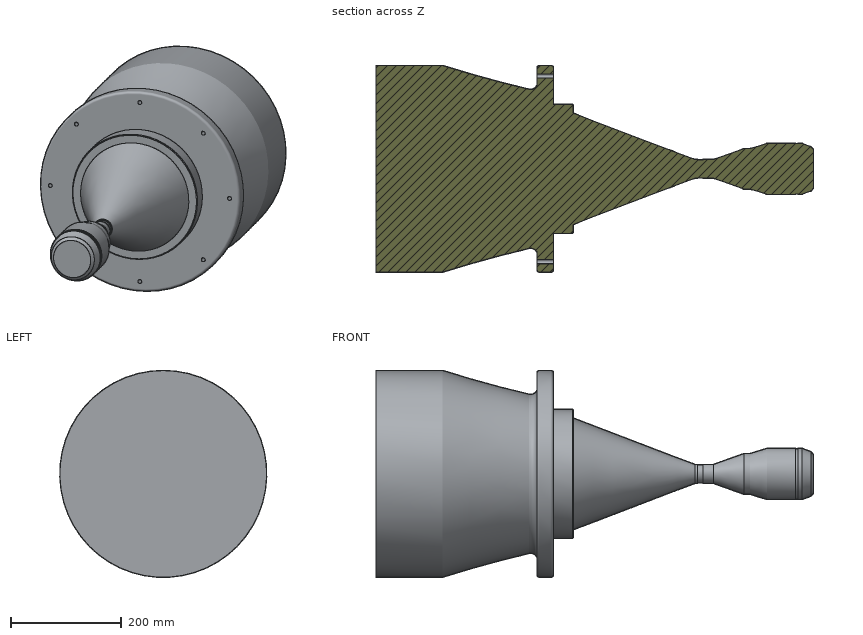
import cadquery as cq

length = 795.0
body_radius = 188.0
drum_end = 122.0
neck_start = 279.0
neck_radius = 145.0
taper_sag = 1.5

flange_start = 292.5
flange_end = 323.0
root_radius = 153.0
neck_land = 2.0
flange_edge_radius = 5.0

collar_radius = 118.0
collar_end = 358.5
collar_chamfer = 1.5
cone_base_radius = 102.0
cone_break = 539.0
cone_break_radius = 32.5

waist_radius = 17.5
waist_start = 579.5
waist_end = 613.0

step_radius = 37.0
step_start = 668.5
step_end = 680.0
tip_radius = 47.0
tip_start = 711.0
tip_end = 773.5
nose_start = 790.0
nose_start_radius = 40.5
nose_end_radius = 35.0

groove_depth = 1.0
tip_groove_start = 762.0
tip_groove_width = 5.0
waist_groove_start = 584.0
waist_groove_width = 9.5

hole_count = 8
hole_circle_radius = 168.5
hole_diameter = 7.0


def turned_body():
    """Revolve the half outline (distance along X, radius) about the X axis."""
    taper_middle = (
        (drum_end + neck_start) / 2,
        (body_radius + neck_radius) / 2 - taper_sag,
    )
    root_start = (neck_start + neck_land, neck_radius)
    outline = (
        cq.Workplane("XZ")
        .moveTo(0, 0)
        .lineTo(0, body_radius)
        .lineTo(drum_end, body_radius)
        .threePointArc(taper_middle, (neck_start, neck_radius))
        .lineTo(*root_start)
        .tangentArcPoint((flange_start, root_radius), relative=False)
        .lineTo(flange_start, body_radius - flange_edge_radius)
        .radiusArc((flange_start + flange_edge_radius, body_radius), flange_edge_radius)
        .lineTo(flange_end - flange_edge_radius, body_radius)
        .radiusArc((flange_end, body_radius - flange_edge_radius), flange_edge_radius)
        .lineTo(flange_end, collar_radius)
        .lineTo(collar_end - collar_chamfer, collar_radius)
        .lineTo(collar_end, collar_radius - collar_chamfer)
        .lineTo(collar_end, cone_base_radius)
        .lineTo(cone_break, cone_break_radius)
        .lineTo(waist_start, waist_radius)
        .lineTo(waist_end, waist_radius)
        .lineTo(step_start, step_radius)
        .lineTo(step_end, step_radius)
        .lineTo(tip_start, tip_radius)
        .lineTo(tip_end, tip_radius)
        .lineTo(nose_start, nose_start_radius)
        .lineTo(length, nose_end_radius)
        .lineTo(length, 0)
        .close()
    )
    return outline.revolve(360, (0, 0, 0), (1, 0, 0))


def groove(start, width, radius):
    """Ring that cuts a shallow groove into a cylinder of the given radius."""
    return (
        cq.Workplane("YZ", origin=(start, 0, 0))
        .circle(radius + groove_depth)
        .circle(radius - groove_depth)
        .extrude(width)
    )


def bolt_holes():
    """Pins that cut the ring of through holes in the flange."""
    return (
        cq.Workplane("YZ", origin=(flange_start, 0, 0))
        .polarArray(hole_circle_radius, 0, 360, hole_count)
        .circle(hole_diameter / 2)
        .extrude(flange_end - flange_start)
    )


tip_groove = groove(tip_groove_start, tip_groove_width, tip_radius)
waist_groove = groove(waist_groove_start, waist_groove_width, waist_radius)
result = turned_body().cut(tip_groove).cut(waist_groove).cut(bolt_holes())